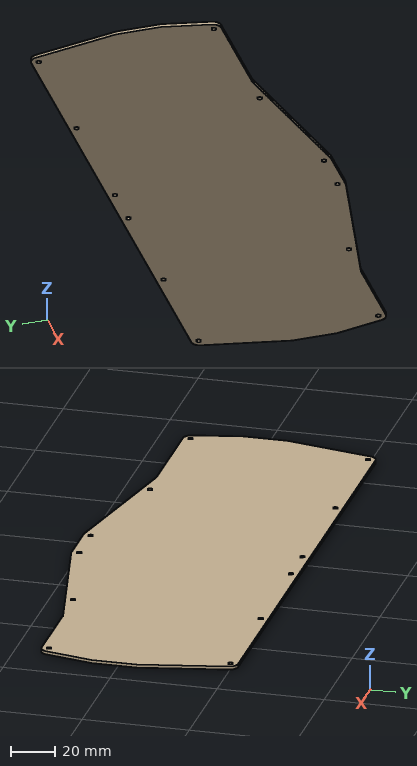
import cadquery as cq

width = 271.0
depth = 106.0
thickness = 1.6

half_width = width / 2
back_y = depth / 2
front_y = -depth / 2
shoulder_y = -38.0
back_corner_x = 126.5
shoulder_corner_x = 130.0
side_flat_back_y = 9.0
side_flat_front_y = -12.2
belly_left_x = -79.0
belly_right_x = 88.3
belly_flat_left_x = -6.8
belly_flat_right_x = 16.0
corner_radius = 4.0

hole_diameter = 2.1
hole_inset = 3.5
back_hole_y = back_y - hole_inset
belly_hole_y = front_y + hole_inset
shoulder_hole_y = shoulder_y + hole_inset
corner_hole_back_x = 123.3
corner_hole_front_x = 126.8
middle_hole_xs = (-5.7, 15.0)
outer_hole_left_x = -64.8
outer_hole_right_x = 69.0
outer_hole_left_y = -37.0
outer_hole_right_y = -38.2


def make_plate():
    """Flat plate with tapered ends, a front belly and four rounded corners."""
    outline = [
        (-back_corner_x, back_y),
        (back_corner_x, back_y),
        (half_width, side_flat_back_y),
        (half_width, side_flat_front_y),
        (shoulder_corner_x, shoulder_y),
        (belly_right_x, shoulder_y),
        (belly_flat_right_x, front_y),
        (belly_flat_left_x, front_y),
        (belly_left_x, shoulder_y),
        (-shoulder_corner_x, shoulder_y),
        (-half_width, side_flat_front_y),
        (-half_width, side_flat_back_y),
    ]
    plate = cq.Workplane("XY").polyline(outline).close().extrude(thickness)
    for side in (-1, 1):
        for x, y in ((back_corner_x, back_y), (shoulder_corner_x, shoulder_y)):
            corner = cq.selectors.NearestToPointSelector((side * x, y, thickness / 2))
            plate = plate.edges("|Z").edges(corner).fillet(corner_radius)
    return plate


def hole_centres():
    """Centres of the back row, the front corners and the belly holes."""
    centres = [
        (outer_hole_left_x, back_hole_y),
        (outer_hole_right_x, back_hole_y),
        (outer_hole_left_x, outer_hole_left_y),
        (outer_hole_right_x, outer_hole_right_y),
    ]
    for side in (-1, 1):
        centres.append((side * corner_hole_back_x, back_hole_y))
        centres.append((side * corner_hole_front_x, shoulder_hole_y))
    for x in middle_hole_xs:
        centres.append((x, back_hole_y))
        centres.append((x, belly_hole_y))
    return centres


holes = (
    cq.Workplane("XY")
    .pushPoints(hole_centres())
    .circle(hole_diameter / 2)
    .extrude(thickness)
)
result = make_plate().cut(holes)